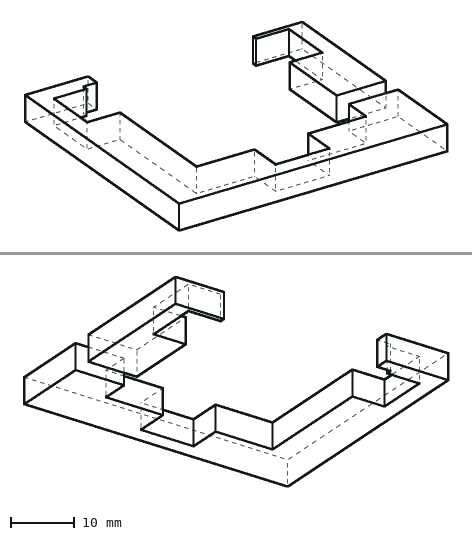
import cadquery as cq

length_x = 44.45
length_y = 50.1
thickness = 4.75

rail_width = 9.2
outer_wall = 3.1
side_notch_length = 10.0
gap_left = 26.7
gap_right = 30.2

notch_left = 3.5
notch_right = 13.15

upper_left = 2.55
lower_arm_height = 11.8
lower_arm_tip_width = upper_left

rail_inner_x = length_x - rail_width
side_notch_x = length_x - outer_wall
side_notch_bottom = (length_y - side_notch_length) / 2
side_notch_top = side_notch_bottom + side_notch_length
upper_inner_y = length_y - rail_width
upper_notch_y = length_y - outer_wall


def plate(outline):
    """Extrude a closed outline to the common thickness."""
    return cq.Workplane("XY").polyline(outline).close().extrude(thickness)


frame = plate([
    (0, 0),
    (length_x, 0),
    (length_x, length_y),
    (gap_right, length_y),
    (gap_right, upper_inner_y),
    (rail_inner_x, upper_inner_y),
    (rail_inner_x, side_notch_top),
    (side_notch_x, side_notch_top),
    (side_notch_x, side_notch_bottom),
    (rail_inner_x, side_notch_bottom),
    (rail_inner_x, rail_width),
    (notch_right, rail_width),
    (notch_right, outer_wall),
    (notch_left, outer_wall),
    (notch_left, rail_width),
    (lower_arm_tip_width, rail_width),
    (lower_arm_tip_width, lower_arm_height),
    (0, lower_arm_height),
])

upper_piece = plate([
    (upper_left, length_y),
    (gap_left, length_y),
    (gap_left, upper_inner_y),
    (notch_right, upper_inner_y),
    (notch_right, upper_notch_y),
    (notch_left, upper_notch_y),
    (notch_left, upper_inner_y),
    (upper_left, upper_inner_y),
])

result = cq.Compound.makeCompound([frame.val(), upper_piece.val()])